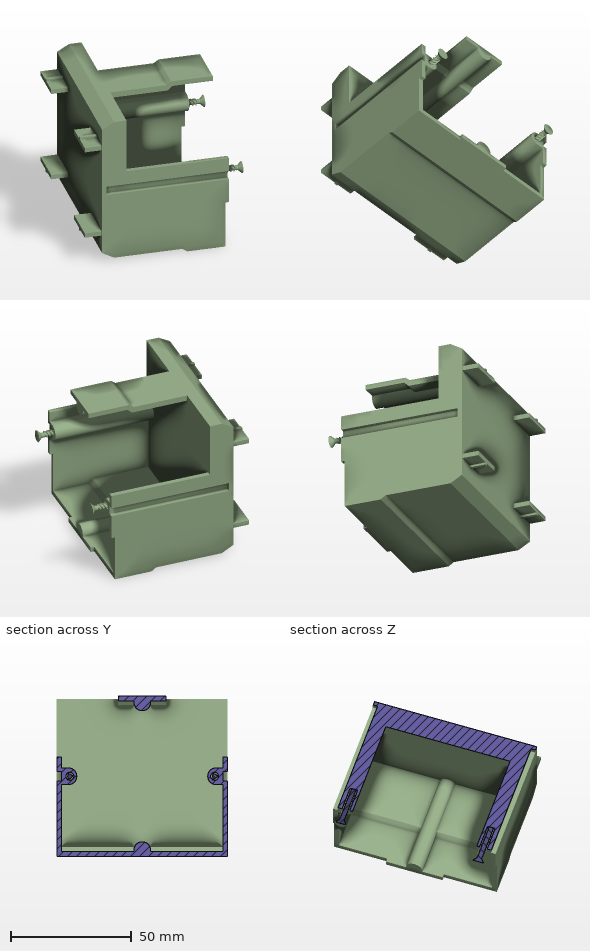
import cadquery as cq
import math

WIDTH = 70.9
MID_X = WIDTH / 2
BACK_Y = 54.45
HEIGHT = 66.7
HALF_HEIGHT = HEIGHT / 2
JOG_RISE = 1.5
PLATE_HALF_HEIGHT = HALF_HEIGHT - JOG_RISE
PLATE_THICK = 10.5
CHAMFER_Y = 5.2
CHAMFER_Z = 2.9

ARM_WIDTH = 20.0
REAR_THICK = 2.2
ROOT_THICK = 2.55
JOG_START_Y = 34.5
JOG_LENGTH = 2.05
JOG_INNER_SHIFT = 0.6

WALL_THICK = 2.05
WALL_TOP_Z = 8.0
NOTCH_TOP_Z = -12.7
NOTCH_DEPTH = 1.55
FLOOR_TAB_WIDTH = 24.7
GROOVE_START_Y = 2.0
GROOVE_WIDTH = 3.8
GROOVE_DEPTH = 1.9

BOSS_RADIUS = 3.55
SIDE_BOSS_REACH = 4.9
MIDDLE_BOSS_REACH = 2.8

BLADE_LENGTH = 7.2
BLADE_WIDTH = 16.8
BLADE_THICK = 2.0
BLADE_SIDE_GAP = 0.6
BLADE_INNER_Z = 19.1
RIDGE_WIDTH = 1.5
RIDGE_HEIGHT = 0.9

SCREW_SIDE_OFFSET = 5.45
SCREW_STANDOFF = 7.0
SCREW_ENGAGEMENT = 10.6
HEAD_RADIUS = 2.55
HEAD_RIM = 0.15
HEAD_HEIGHT = 1.8
SHANK_RADIUS = 1.05
SHANK_END = 2.6
THREAD_START = 3.1
CORE_RADIUS = 1.0
THREAD_RADIUS = 1.55
THREAD_STARTS = 3
THREAD_LEAD = 4.25
THREAD_ROOT_WIDTH = 0.85
THREAD_CREST_WIDTH = 0.2
THREAD_START_ANGLE = 30.0


def block(x0, x1, y0, y1, z0, z1):
    return cq.Workplane("XY").box(x1 - x0, y1 - y0, z1 - z0, centered=False).translate((x0, y0, z0))


def mirrored_pair(shape, plane, base_point):
    return shape.union(shape.mirror(plane, base_point))


def make_front_plate():
    outline = [
        (PLATE_THICK, PLATE_HALF_HEIGHT),
        (CHAMFER_Y, PLATE_HALF_HEIGHT),
        (0, PLATE_HALF_HEIGHT - CHAMFER_Z),
        (0, CHAMFER_Z - PLATE_HALF_HEIGHT),
        (CHAMFER_Y, -PLATE_HALF_HEIGHT),
        (PLATE_THICK, -PLATE_HALF_HEIGHT),
    ]
    return cq.Workplane("YZ").polyline(outline).close().extrude(WIDTH)


def jogged_outer_points():
    """Outer (Y, Z) line of the arm from its rear end to the plate."""
    return [
        (BACK_Y, HALF_HEIGHT),
        (JOG_START_Y + JOG_LENGTH, HALF_HEIGHT),
        (JOG_START_Y, PLATE_HALF_HEIGHT),
        (PLATE_THICK, PLATE_HALF_HEIGHT),
    ]


def make_jogged_arm(width):
    """Arm above the opening, centred in X, stepping outward towards its rear end."""
    root_inner_z = PLATE_HALF_HEIGHT - ROOT_THICK
    rear_inner_z = HALF_HEIGHT - REAR_THICK
    inner_jog_y = JOG_START_Y + JOG_INNER_SHIFT
    inner_points = [
        (PLATE_THICK, root_inner_z),
        (inner_jog_y, root_inner_z),
        (inner_jog_y + JOG_LENGTH, rear_inner_z),
        (BACK_Y, rear_inner_z),
    ]
    outline = jogged_outer_points() + inner_points
    return cq.Workplane("YZ", origin=(MID_X - width / 2, 0, 0)).polyline(outline).close().extrude(width)


def make_side_wall():
    """Wall at X = 0, with a lower edge that follows the floor."""
    lower_edge = [(y, -z) for y, z in jogged_outer_points()]
    outline = lower_edge + [(PLATE_THICK, WALL_TOP_Z), (BACK_Y, WALL_TOP_Z)]
    return cq.Workplane("YZ").polyline(outline).close().extrude(WALL_THICK)


def make_boss(reach):
    """Half-round bar along Y, standing on the plane X = 0 and centred on Z = 0."""
    return (
        cq.Workplane("XZ", origin=(0, BACK_Y, 0))
        .moveTo(0, -BOSS_RADIUS)
        .lineTo(reach, -BOSS_RADIUS)
        .threePointArc((reach + BOSS_RADIUS, 0), (reach, BOSS_RADIUS))
        .lineTo(0, BOSS_RADIUS)
        .close()
        .extrude(BACK_Y - PLATE_THICK)
    )


def make_side_boss():
    wall_inset = WALL_THICK / 2
    return make_boss(SIDE_BOSS_REACH - wall_inset).translate((wall_inset, 0, 0))


def make_middle_boss():
    """Boss hanging below the arm, rooted inside the arm's thickness."""
    rear_inner_z = HALF_HEIGHT - REAR_THICK
    root_z = (rear_inner_z + PLATE_HALF_HEIGHT) / 2
    reach = root_z - (HALF_HEIGHT - MIDDLE_BOSS_REACH)
    hanging = make_boss(reach).rotate((0, 0, 0), (0, 1, 0), 90)
    return hanging.translate((MID_X, 0, root_z))


def make_blade():
    """Upper left blade with a ridge along the middle of its outer face."""
    middle_x = BLADE_SIDE_GAP + BLADE_WIDTH / 2
    outer_z = BLADE_INNER_Z + BLADE_THICK
    blade = block(BLADE_SIDE_GAP, BLADE_SIDE_GAP + BLADE_WIDTH, -BLADE_LENGTH, 0, BLADE_INNER_Z, outer_z)
    ridge_left = middle_x - RIDGE_WIDTH / 2
    ridge_right = middle_x + RIDGE_WIDTH / 2
    ridge = block(ridge_left, ridge_right, -BLADE_LENGTH, 0, outer_z, outer_z + RIDGE_HEIGHT)
    return blade.union(ridge)


def make_groove():
    """Groove along the outside of the wall at X = 0, open at the rear."""
    return block(0, GROOVE_DEPTH, GROOVE_START_Y, BACK_Y, -GROOVE_WIDTH / 2, GROOVE_WIDTH / 2)


def make_corner_notch():
    """Cut-back of the rear edge on the left of the floor tab."""
    return block(0, MID_X - FLOOR_TAB_WIDTH / 2, BACK_Y - NOTCH_DEPTH, BACK_Y, -HALF_HEIGHT, NOTCH_TOP_Z)


def make_screw_hole():
    return (
        cq.Workplane("XZ", origin=(SCREW_SIDE_OFFSET, BACK_Y, 0))
        .circle(THREAD_RADIUS)
        .extrude(SCREW_ENGAGEMENT)
    )


def make_housing():
    mid_plane_x = (MID_X, 0, 0)
    origin = (0, 0, 0)
    arm = make_jogged_arm(ARM_WIDTH)
    floor = make_jogged_arm(WIDTH).mirror("XY", origin)
    side = make_side_wall().union(make_side_boss())
    blades = mirrored_pair(make_blade(), "XY", origin)

    body = make_front_plate().union(arm).union(floor)
    body = body.union(mirrored_pair(make_middle_boss(), "XY", origin))
    for addition in (side, blades):
        body = body.union(mirrored_pair(addition, "YZ", mid_plane_x))
    for cutter in (make_groove(), make_corner_notch(), make_screw_hole()):
        body = body.cut(mirrored_pair(cutter, "YZ", mid_plane_x))
    return body


def make_thread(length):
    """Multi-start right-hand thread along +Z: a core with teeth, twisted as it is extruded."""
    root_x = math.sqrt(CORE_RADIUS**2 - (THREAD_ROOT_WIDTH / 2) ** 2)
    tip_x = math.sqrt(THREAD_RADIUS**2 - (THREAD_CREST_WIDTH / 2) ** 2)
    tooth_corners = [
        (0, 0),
        (root_x, -THREAD_ROOT_WIDTH / 2),
        (tip_x, -THREAD_CREST_WIDTH / 2),
        (tip_x, THREAD_CREST_WIDTH / 2),
        (root_x, THREAD_ROOT_WIDTH / 2),
        (0, 0),
    ]
    tooth = cq.Sketch().polygon(tooth_corners)
    section = cq.Sketch().circle(CORE_RADIUS)
    for start in range(THREAD_STARTS):
        angle = THREAD_START_ANGLE + 360 * start / THREAD_STARTS
        section = section.face(tooth.moved(cq.Location(cq.Vector(), cq.Vector(0, 0, 1), angle)))
    section = section.clean()
    turn = 360 * length / THREAD_LEAD
    return cq.Workplane("XY").placeSketch(section).twistExtrude(length, turn)


def make_screw(axis_x):
    """Countersunk screw along Y, with its flat head facing +Y."""
    half_profile = [
        (0, 0),
        (HEAD_RADIUS, 0),
        (HEAD_RADIUS, HEAD_RIM),
        (SHANK_RADIUS, HEAD_HEIGHT),
        (SHANK_RADIUS, SHANK_END),
        (CORE_RADIUS, SHANK_END),
        (CORE_RADIUS, THREAD_START),
        (0, THREAD_START),
    ]
    head = cq.Workplane("XZ").polyline(half_profile).close().revolve(360, (0, 0, 0), (0, 1, 0))
    thread_length = SCREW_STANDOFF + SCREW_ENGAGEMENT - THREAD_START
    thread = make_thread(thread_length).translate((0, 0, THREAD_START))
    screw = head.union(thread)
    return screw.rotate((0, 0, 0), (1, 0, 0), 90).translate((axis_x, BACK_Y + SCREW_STANDOFF, 0))


housing = make_housing()
screws = [make_screw(x) for x in (SCREW_SIDE_OFFSET, WIDTH - SCREW_SIDE_OFFSET)]
result = cq.Compound.makeCompound([housing.val(), *[screw.val() for screw in screws]])